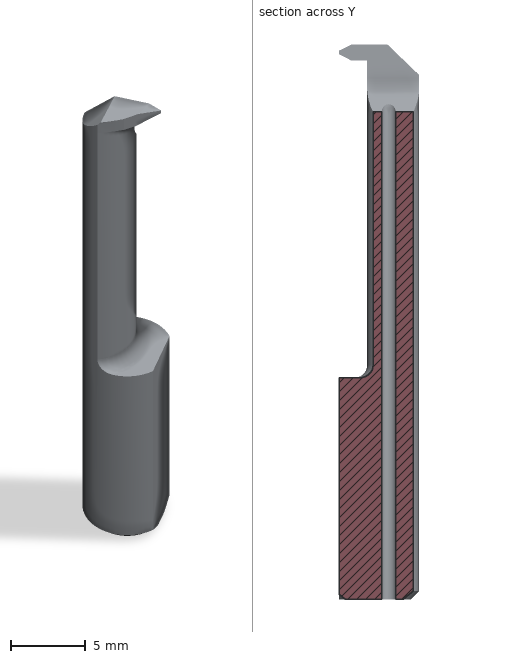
import cadquery as cq
import math

length = 37.0
shank_radius = 3.0
flat_x = 2.35
end_chamfer = 0.55

shoulder_z = 14.8
neck_radius = 3.05
neck_axis_x = -2.55
neck_fillet = 0.8
neck_side_x = (neck_axis_x**2 + shank_radius**2 - neck_radius**2) / (2 * neck_axis_x)
neck_side_y = -math.sqrt(shank_radius**2 - neck_side_x**2)

head_bottom_z = 35.93
head_top_start_x = -0.9
nose_top_x = 1.5
nose_z = 36.5
nose_half_height = 0.1
relief_corner = (0.35, -1.9)
relief_arc_middle = (-0.4, -2.33)
top_relief = math.tan(math.radians(3))
nose_relief = math.tan(math.radians(12))
back_chamfer_z = 34.95

rake_start_z = 34.75
rake_radius = 1.48
rake_angle = math.radians(42)

hole_x = -0.95
hole_y = 1.5
hole_diameter = 0.92

margin = 3.7


def make_shank():
    return cq.Workplane("XY").circle(shank_radius).extrude(length).faces("<Z").chamfer(end_chamfer)


def make_neck_tool():
    """Everything kept above the shoulder: a cylinder flared by the shoulder fillet."""
    flare_radius = neck_radius + neck_fillet
    arc_offset = neck_fillet * (1 - math.sqrt(0.5))
    profile = (
        cq.Workplane("XZ")
        .moveTo(0, shoulder_z)
        .lineTo(flare_radius, shoulder_z)
        .threePointArc(
            (neck_radius + arc_offset, shoulder_z + arc_offset),
            (neck_radius, shoulder_z + neck_fillet),
        )
        .lineTo(neck_radius, length)
        .lineTo(0, length)
        .close()
    )
    return profile.revolve(360, (0, 0, 0), (0, 1, 0)).translate((neck_axis_x, 0, 0))


def relieved_prism(points, relief):
    """Extrude an XZ outline toward -Y while its height changes by relief per unit of depth."""
    wire = cq.Wire.makePolygon([cq.Vector(x, 0, z) for x, z in points], close=True)
    depth = shank_radius + margin
    return cq.Workplane(cq.Solid.extrudeLinear(wire, [], cq.Vector(0, -depth, relief * depth)))


def make_head():
    plan = (
        cq.Workplane("XY", origin=(0, 0, head_bottom_z))
        .moveTo(neck_side_x, 0)
        .lineTo(flat_x, 0)
        .lineTo(*relief_corner)
        .threePointArc(relief_arc_middle, (neck_side_x, neck_side_y))
        .close()
        .extrude(length - head_bottom_z)
    )
    upper_tip_z = nose_z + nose_half_height
    lower_tip_z = nose_z - nose_half_height
    upper_slope = (length - upper_tip_z) / (flat_x - nose_top_x)
    lower_slope = (lower_tip_z - head_bottom_z) / (flat_x - nose_top_x)
    reach = flat_x + margin
    upper_flank = [
        (flat_x, upper_tip_z),
        (flat_x - reach, upper_tip_z + upper_slope * reach),
        (flat_x, upper_tip_z + upper_slope * reach),
    ]
    lower_flank = [
        (flat_x, lower_tip_z),
        (flat_x - reach, lower_tip_z - lower_slope * reach),
        (flat_x, lower_tip_z - lower_slope * reach),
    ]
    head = plan.cut(relieved_prism(upper_flank, -nose_relief))
    return head.cut(relieved_prism(lower_flank, nose_relief))


def make_top_relief():
    left = -shank_radius - margin
    right = flat_x + margin
    outline = [(left, length), (right, length), (right, length + margin), (left, length + margin)]
    return relieved_prism(outline, -top_relief)


def make_back_chamfer():
    slope = (length - back_chamfer_z) / (shank_radius + head_top_start_x)
    return (
        cq.Workplane("XZ")
        .moveTo(-shank_radius - margin, back_chamfer_z - slope * margin)
        .lineTo(head_top_start_x + margin, length + slope * margin)
        .lineTo(-shank_radius - margin, length + slope * margin)
        .close()
        .extrude(shank_radius + margin, both=True)
    )


def make_rake_cut():
    def arc_point(angle):
        return rake_radius * (1 - math.cos(angle)), rake_start_z - rake_radius * math.sin(angle)

    arc_end_y, arc_end_z = arc_point(rake_angle)
    outer_y = shank_radius + margin
    outer_z = arc_end_z - (outer_y - arc_end_y) / math.tan(rake_angle)
    return (
        cq.Workplane("YZ")
        .moveTo(0, length + margin)
        .lineTo(0, rake_start_z)
        .threePointArc(arc_point(rake_angle / 2), (arc_end_y, arc_end_z))
        .lineTo(outer_y, outer_z)
        .lineTo(outer_y, length + margin)
        .close()
        .extrude(shank_radius + margin, both=True)
    )


def make_flat_cut():
    width = 2 * shank_radius
    return cq.Workplane("XY").box(margin, width, length, centered=(False, True, False)).translate((flat_x, 0, 0))


def make_coolant_hole():
    return cq.Workplane("XY").center(hole_x, hole_y).circle(hole_diameter / 2).extrude(length)


shank = make_shank()
below_shoulder = cq.Workplane("XY").circle(shank_radius).extrude(shoulder_z)
body = shank.intersect(below_shoulder).union(shank.intersect(make_neck_tool()))
body = body.union(make_head())
for cutter in (
    make_flat_cut(),
    make_top_relief(),
    make_back_chamfer(),
    make_rake_cut(),
    make_coolant_hole(),
):
    body = body.cut(cutter)
result = body